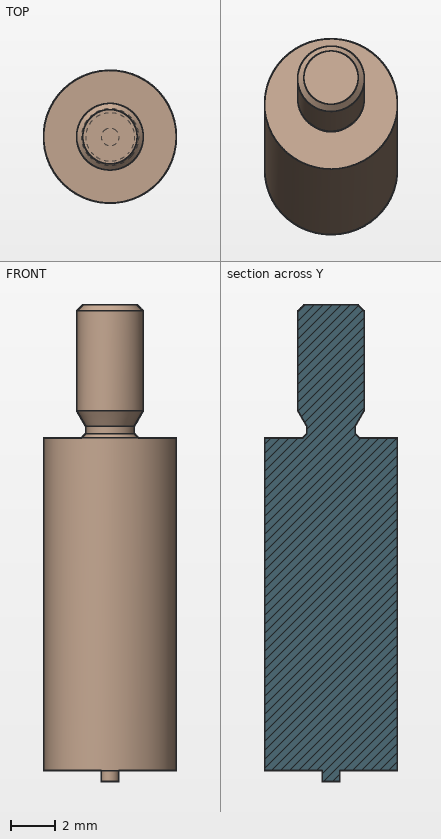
import cadquery as cq

total_length = 21.5
body_diameter = 6.0
stud_diameter = 3.0
neck_diameter = 2.2
pin_diameter = 0.8
pin_length = 0.5
stud_length = 6.0

tip_chamfer = 0.28
neck_flare = 0.2
neck_height = 0.52
taper_height = 0.7

body_top = total_length - pin_length - stud_length
stud_top = body_top + stud_length
taper_start = body_top + neck_height
taper_end = taper_start + taper_height

body_radius = body_diameter / 2
stud_radius = stud_diameter / 2
neck_radius = neck_diameter / 2
pin_radius = pin_diameter / 2

profile = (
    cq.Workplane("XZ")
    .moveTo(0, -pin_length)
    .lineTo(pin_radius, -pin_length)
    .lineTo(pin_radius, 0)
    .lineTo(body_radius, 0)
    .lineTo(body_radius, body_top)
    .lineTo(neck_radius + neck_flare, body_top)
    .lineTo(neck_radius, body_top + neck_flare)
    .lineTo(neck_radius, taper_start)
    .lineTo(stud_radius, taper_end)
    .lineTo(stud_radius, stud_top - tip_chamfer)
    .lineTo(stud_radius - tip_chamfer, stud_top)
    .lineTo(0, stud_top)
    .close()
)

result = profile.revolve(360, (0, 0, 0), (0, 1, 0))